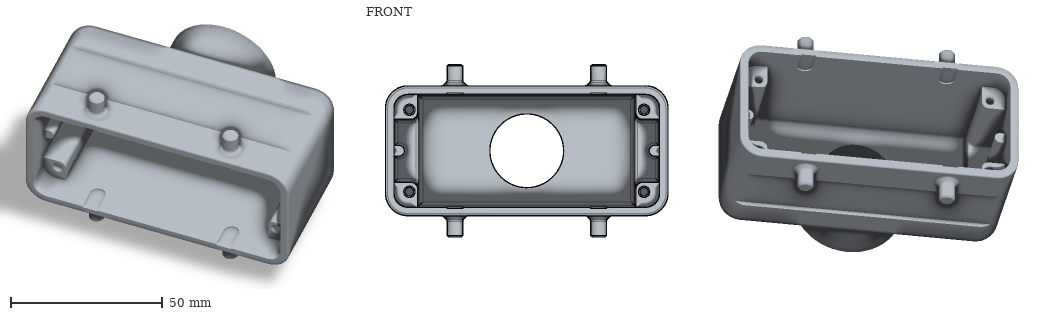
import cadquery as cq

BODY_WIDTH = 93.5
BODY_HEIGHT = 43.0
BODY_DEPTH = 45.3
BODY_CORNER_RADIUS = 7.5
BACK_EDGE_RADIUS = 5.1
RIM_EDGE_RADIUS = 0.75
TOTAL_DEPTH = 61.0
TOTAL_HEIGHT = 57.0

COLLAR_DIAMETER = 37.2
COLLAR_BORE_DIAMETER = 24.3
COLLAR_EDGE_RADIUS = 0.9
COLLAR_ROOT_RADIUS = 0.75

LABEL_DEPTH = 0.9
LABEL_FRONT = 13.0
LABEL_BACK = 31.4
LABEL_WALL_FLARE = 0.7

PIN_DIAMETER = 5.2
PIN_X = 23.75
PIN_Y = 6.1
PIN_CONE_HEIGHT = 1.4
PIN_ROOT_RADIUS = 0.9
PIN_TIP_CHAMFER = 0.6
PIN_EMBED = 0.9
SLOT_DEPTH = 0.4
SLOT_LENGTH = 9.5

WALL = 2.8
DRAFT_ANGLE = 0.7
MAIN_HALF_WIDTH = 36.2
FLOOR_RADIUS = 1.3

POST_FRONT = 9.0
POST_INNER_Z = 10.6
POST_EDGE_RADIUS = 2.2
LEDGE_Y = 33.7
LEDGE_RADIUS = 0.9
SCREW_X = 38.8
SCREW_Z = 13.6
SCREW_HOLE_DIAMETER = 2.8
SCREW_HOLE_DEPTH = 18.7
SCREW_CHAMFER = 0.5

RIDGE_RADIUS = 1.8
RIDGE_X = 42.3
RIDGE_FRONT = 9.8

PICK_MARGIN = 0.1

CAVITY_WIDTH = BODY_WIDTH - 2 * WALL
CAVITY_HEIGHT = BODY_HEIGHT - 2 * WALL
CAVITY_CORNER_RADIUS = BODY_CORNER_RADIUS - WALL
FLOOR_Y = BODY_DEPTH - WALL


def section_at(y):
    """Workplane across the hood at depth y, facing the closed end."""
    return cq.Workplane(cq.Plane(origin=(0, y, 0), xDir=(1, 0, 0), normal=(0, 1, 0)))


def drafted_block(width, height, depth, corner_radius=0.0):
    """Rectangle at the rim that narrows toward the closed end."""
    outline = cq.Sketch().rect(width, height)
    if corner_radius > 0:
        outline = outline.vertices().fillet(corner_radius)
    return section_at(0).placeSketch(outline).extrude(depth, taper=DRAFT_ANGLE)


def make_shell():
    shell = section_at(0).rect(BODY_WIDTH, BODY_HEIGHT).extrude(BODY_DEPTH)
    shell = shell.edges("|Y").fillet(BODY_CORNER_RADIUS)
    shell = shell.faces(">Y").edges().fillet(BACK_EDGE_RADIUS)
    return shell.faces("<Y").edges().fillet(RIM_EDGE_RADIUS)


def add_collar(shell):
    collar = section_at(FLOOR_Y).circle(COLLAR_DIAMETER / 2).extrude(TOTAL_DEPTH - FLOOR_Y)
    collar = collar.faces(">Y").edges().fillet(COLLAR_EDGE_RADIUS)
    reach = COLLAR_DIAMETER / 2 + COLLAR_EDGE_RADIUS
    root_zone = cq.selectors.BoxSelector(
        (-reach, BODY_DEPTH - BACK_EDGE_RADIUS, -reach),
        (reach, BODY_DEPTH + COLLAR_EDGE_RADIUS, reach),
    )
    return shell.union(collar).edges(root_zone).edges("not %LINE").fillet(COLLAR_ROOT_RADIUS)


def make_label_recess(side):
    """Trapezoidal channel across the whole width; side is +1 for the top, -1 for the bottom."""
    face_z = side * BODY_HEIGHT / 2
    floor_z = face_z - side * LABEL_DEPTH
    return (
        cq.Workplane("YZ", origin=(-BODY_WIDTH / 2, 0, 0))
        .moveTo(LABEL_FRONT, floor_z)
        .lineTo(LABEL_BACK, floor_z)
        .lineTo(LABEL_BACK + LABEL_WALL_FLARE, face_z)
        .lineTo(LABEL_FRONT - LABEL_WALL_FLARE, face_z)
        .close()
        .extrude(BODY_WIDTH)
    )


def make_pin():
    """Pin along +Z on a 45 degree conical root; the face it stands on is z = 0."""
    radius = PIN_DIAMETER / 2
    cone_radius = radius + PIN_CONE_HEIGHT
    base_radius = cone_radius + PIN_ROOT_RADIUS
    height = (TOTAL_HEIGHT - BODY_HEIGHT) / 2
    pin = (
        cq.Workplane("XZ")
        .moveTo(0, -PIN_EMBED)
        .lineTo(base_radius, -PIN_EMBED)
        .lineTo(base_radius, 0)
        .lineTo(cone_radius, 0)
        .lineTo(radius, PIN_CONE_HEIGHT)
        .lineTo(radius, height - PIN_TIP_CHAMFER)
        .lineTo(radius - PIN_TIP_CHAMFER, height)
        .lineTo(0, height)
        .close()
        .revolve(360, (0, 0, 0), (0, 1, 0))
    )
    pick_reach = cone_radius + PICK_MARGIN
    cone_zone = cq.selectors.BoxSelector(
        (-pick_reach, -pick_reach, -PICK_MARGIN),
        (pick_reach, pick_reach, PIN_CONE_HEIGHT + PICK_MARGIN),
        boundingbox=True,
    )
    return pin.edges(cone_zone).edges("%CIRCLE").fillet(PIN_ROOT_RADIUS)


def make_pin_slot():
    """Round-ended slot behind a pin, open at the rim and sunk into the upper inner wall."""
    floor_z = CAVITY_HEIGHT / 2 + SLOT_DEPTH
    end_y = SLOT_LENGTH - PIN_DIAMETER / 2
    run = cq.Workplane("XY").center(0, end_y / 2).rect(PIN_DIAMETER, end_y).extrude(floor_z)
    end = cq.Workplane("XY").center(0, end_y).circle(PIN_DIAMETER / 2).extrude(floor_z)
    return run.union(end)


def make_guide_ridge(side):
    """Round-nosed ridge along an end wall; side is -1 for the left wall, +1 for the right."""
    length = LEDGE_Y - RIDGE_FRONT
    nose = section_at(RIDGE_FRONT).center(side * RIDGE_X, 0).circle(RIDGE_RADIUS).extrude(length)
    outer_x = BODY_WIDTH / 2
    web = (
        section_at(RIDGE_FRONT)
        .center(side * (RIDGE_X + outer_x) / 2, 0)
        .rect(outer_x - RIDGE_X, 2 * RIDGE_RADIUS)
        .extrude(length)
    )
    return nose.union(web)


def make_cavity():
    main = drafted_block(2 * MAIN_HALF_WIDTH, CAVITY_HEIGHT, FLOOR_Y)
    ends = drafted_block(CAVITY_WIDTH, 2 * POST_INNER_Z, LEDGE_Y)
    inner = main.union(ends)

    for side in (1, -1):
        inner = inner.cut(make_guide_ridge(side))

    pick_x = MAIN_HALF_WIDTH + PICK_MARGIN
    pick_z = POST_INNER_Z + PICK_MARGIN
    post_zone = cq.selectors.BoxSelector(
        (-pick_x, PICK_MARGIN, -pick_z), (pick_x, LEDGE_Y - PICK_MARGIN, pick_z)
    )
    inner = inner.edges(post_zone).fillet(POST_EDGE_RADIUS)
    inner = inner.faces(">Y").edges().fillet(FLOOR_RADIUS)
    ledge_zone = cq.selectors.BoxSelector(
        (-BODY_WIDTH, LEDGE_Y - PICK_MARGIN, -BODY_HEIGHT),
        (BODY_WIDTH, LEDGE_Y + PICK_MARGIN, BODY_HEIGHT),
    )
    inner = inner.edges(ledge_zone).fillet(LEDGE_RADIUS)

    mouth = drafted_block(CAVITY_WIDTH, CAVITY_HEIGHT, POST_FRONT, CAVITY_CORNER_RADIUS)
    return inner.union(mouth)


def make_screw_hole():
    hole = section_at(POST_FRONT).circle(SCREW_HOLE_DIAMETER / 2).extrude(SCREW_HOLE_DEPTH)
    mouth_radius = SCREW_HOLE_DIAMETER / 2 + SCREW_CHAMFER
    countersink = section_at(POST_FRONT).circle(mouth_radius).extrude(SCREW_CHAMFER, taper=45)
    return hole.union(countersink)


result = add_collar(make_shell())
for side in (1, -1):
    result = result.cut(make_label_recess(side))

for x in (-PIN_X, PIN_X):
    pin = make_pin().translate((x, PIN_Y, BODY_HEIGHT / 2))
    slot = make_pin_slot().translate((x, 0, 0))
    result = result.union(pin).union(pin.mirror("XY"))
    result = result.cut(slot).cut(slot.mirror("XY"))

result = result.cut(make_cavity())
result = result.cut(section_at(0).circle(COLLAR_BORE_DIAMETER / 2).extrude(TOTAL_DEPTH))

for x in (-SCREW_X, SCREW_X):
    for z in (-SCREW_Z, SCREW_Z):
        result = result.cut(make_screw_hole().translate((x, 0, z)))